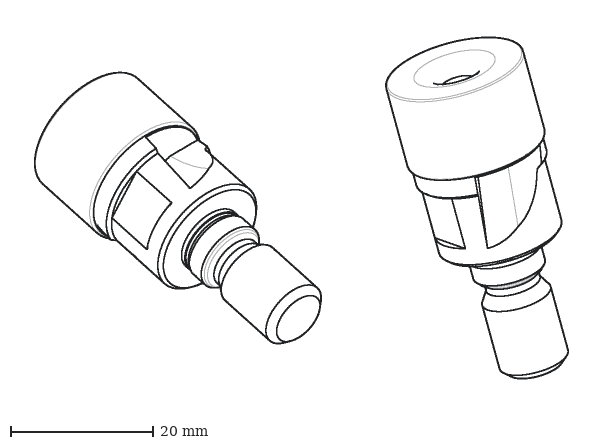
import cadquery as cq

length = 46.8
head_radius = 9.99
head_end = 12.75
head_front_edge = 0.25
head_back_edge = 0.35

collar_radius = 9.5
collar_end = 15.6
body_start = 16.05
body_radius = 8.95
body_end = 26.95
body_edge = 0.55

neck_radius = 5.1
relief_radius = 4.9
relief_start = 27.7
relief_end = 28.25
ring_start = 28.88
ring_end = 31.55
ring_radius = 5.25
ring_edge = 0.3
shoulder_radius = 4.7
shoulder_end = 32.2
groove_radius = 3.95
groove_start = 32.75
groove_end = 33.85
shank_radius = 5.0
shank_start = 35.7
shank_chamfer = 1.08

mouth_radius = 5.9
bottom_radius = 2.45
funnel_depth = 2.35
mouth_rounding = (funnel_depth**2 + (mouth_radius - bottom_radius)**2) / (2 * funnel_depth)

across_flats = 16.0
flat_length = 7.8
flat_tilt = 34.0

window_start = 13.0
window_middle = 18.7
window_end = 24.15
clearance = 11.7


def turned_body():
    """Stepped outside of the holder, revolved about X."""
    return (
        cq.Workplane("XY")
        .lineTo(0, head_radius - head_front_edge)
        .radiusArc((head_front_edge, head_radius), head_front_edge)
        .lineTo(head_end - head_back_edge, head_radius)
        .radiusArc((head_end, head_radius - head_back_edge), head_back_edge)
        .lineTo(head_end, collar_radius)
        .lineTo(collar_end, collar_radius)
        .lineTo(body_start, body_radius)
        .lineTo(body_end - body_edge, body_radius)
        .lineTo(body_end, body_radius - body_edge)
        .lineTo(body_end, neck_radius)
        .lineTo(relief_start, neck_radius)
        .lineTo(relief_start, relief_radius)
        .lineTo(relief_end, relief_radius)
        .lineTo(ring_start, ring_radius)
        .lineTo(ring_end, ring_radius)
        .lineTo(ring_end + ring_edge, ring_radius - ring_edge)
        .lineTo(shoulder_end, shoulder_radius)
        .lineTo(groove_start, groove_radius)
        .lineTo(groove_end, groove_radius)
        .lineTo(shank_start, shank_radius)
        .lineTo(length - shank_chamfer, shank_radius)
        .lineTo(length, shank_radius - shank_chamfer)
        .lineTo(length, 0)
        .close()
        .revolve(360, (0, 0, 0), (1, 0, 0))
    )


def funnel():
    """Rounded recess, tangent to the head face, narrowing to a flat round bottom."""
    return (
        cq.Workplane("XY")
        .lineTo(0, mouth_radius)
        .radiusArc((funnel_depth, bottom_radius), -mouth_rounding)
        .lineTo(funnel_depth, 0)
        .close()
        .revolve(360, (0, 0, 0), (1, 0, 0))
    )


def half_turn(tool):
    """Copy of a cutter on the opposite side of the axis."""
    return tool.rotate((0, 0, 0), (1, 0, 0), 180)


def wrench_flat():
    """Cutter for one flat, tilted about the axis."""
    depth = clearance - across_flats / 2
    return (
        cq.Workplane("XY")
        .box(flat_length, depth, 2 * clearance, centered=(False, False, True))
        .translate((body_start, -clearance, 0))
        .rotate((0, 0, 0), (1, 0, 0), -flat_tilt)
    )


def window():
    """Cutter for one side window, its floor curving out to the body surface."""
    sections = [
        (window_start, -0.3, 0.85, 4.1, 2.7),
        (window_middle, -0.8, 4.6, 3.8, 5.55),
        (window_end, -1.25, 8.85, 3.5, 9.85),
    ]
    wires = []
    for x, wall_y, root_z, fold_y, floor_z in sections:
        corners = [
            (x, wall_y, clearance),
            (x, wall_y, root_z),
            (x, fold_y, floor_z),
            (x, clearance, floor_z),
            (x, clearance, clearance),
        ]
        wires.append(cq.Wire.makePolygon([cq.Vector(*corner) for corner in corners], close=True))
    return cq.Workplane("XY").newObject([cq.Solid.makeLoft(wires)])


result = turned_body().cut(funnel())
for cutter in (wrench_flat(), window()):
    result = result.cut(cutter).cut(half_turn(cutter))